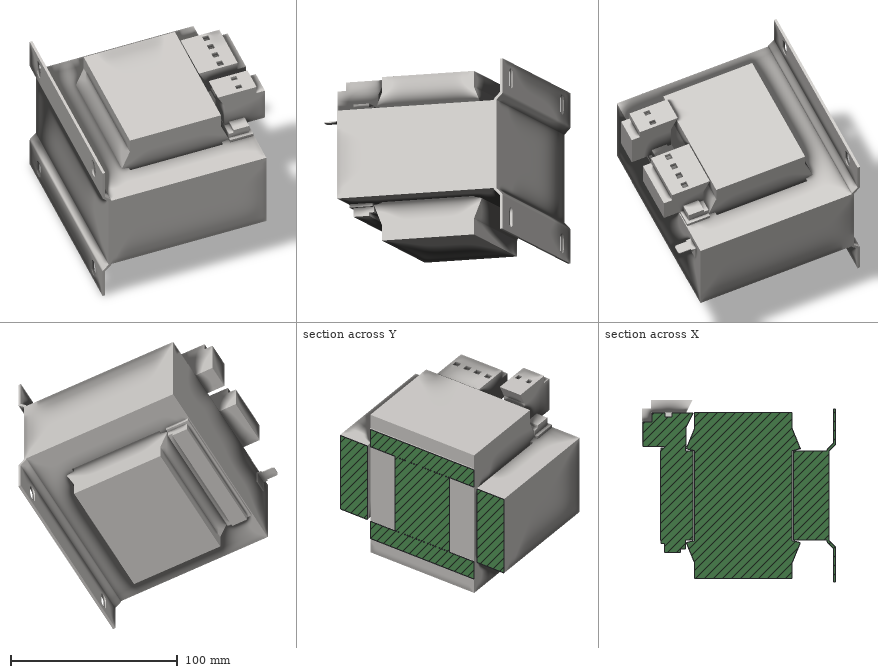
import cadquery as cq
import math


core_width = 120.0
core_depth = 100.0
core_height = 53.8
yoke_depth = core_width / 6
window_width = core_width * 2 / 3
leg_width = core_width / 3

plate_height = 104.2
plate_thickness = 1.7
plate_jog = 4.0
outer_bend_radius = 2.0
inner_bend_radius = outer_bend_radius - plate_thickness
slot_width = 6.0
slot_length = 12.0
slot_spacing_x = 90.0
slot_spacing_z = 84.8

core_front = plate_jog + plate_thickness
core_back = core_front + core_depth
core_top = core_height / 2

coil_width = 76.0
coil_height = 100.0
coil_depth = 58.8
coil_shoulder = 9.6
coil_flare = 5.0
flange_lift = 1.2

rail_base_depth = 15.0
rail_base_height = 2.0
rail_inset = 0.5
rail_depth = 13.1
rail_height = 7.5
rail_step_depth = 3.1
rail_step_height = 5.4

terminal_width = 15.1
terminal_depth = 30.4
terminal_step_depth = 5.4
terminal_step_height = 5.2
terminal_lip = 4.3
terminal_lip_drop = 8.8
terminal_clearance = 2.5
terminal_bottom = core_top + terminal_clearance
low_terminal_height = 20.3
low_terminal_top = terminal_bottom + low_terminal_height
high_terminal_rise = 7.7
high_terminal_top = low_terminal_top + high_terminal_rise
low_terminal_overhang = 10.5
high_terminal_overhang = 10.8
low_terminal_starts = (-2 * terminal_width, -terminal_width)
high_terminal_start = terminal_width
wire_hole_pitch = 7.7
wire_hole_length = 3.8
wire_hole_setback = 15.4
wire_hole_depth = 2.4
low_hole_width = 3.8
low_hole_offset = 3.8
high_hole_width = 2.9
high_hole_offset = 3.4

tab_x = -49.8
tab_reach = 11.2
tab_width = 6.1
tab_base_width = 7.9
tab_base_reach = 3.0
tab_thickness = 0.7
tab_leg_height = 9.6
tab_drop = 5.0
tab_top = core_top - tab_drop
tab_corner_radius = 1.5


def block(x_range, y_range, z_range):
    """Box between the given limits along each axis."""
    size = [high - low for low, high in (x_range, y_range, z_range)]
    return cq.Workplane("XY").box(*size, centered=False).translate((x_range[0], y_range[0], z_range[0]))


def prism(points, x_start, width):
    """Y-Z outline extruded along +X from x_start."""
    return cq.Workplane("YZ", origin=(x_start, 0, 0)).polyline(points).close().extrude(width)


def centered(width):
    return (-width / 2, width / 2)


def make_core():
    depth_range = (core_front, core_back)
    window_range = (core_front + yoke_depth, core_back - yoke_depth)
    core = block(centered(core_width), depth_range, centered(core_height))
    window = block(centered(window_width), window_range, centered(core_height))
    leg = block(centered(leg_width), window_range, centered(core_height))
    return core.cut(window).union(leg)


def make_plate():
    half_height = plate_height / 2
    bend_front_z = core_top + plate_jog
    bend_shift = plate_thickness * math.tan(math.pi / 8)
    front = [
        (0, half_height),
        (0, bend_front_z),
        (plate_jog, core_top),
    ]
    back = [
        (core_front, core_top + bend_shift),
        (plate_thickness, bend_front_z + bend_shift),
        (plate_thickness, half_height),
    ]
    front_lower = [(y, -z) for y, z in reversed(front)]
    back_lower = [(y, -z) for y, z in reversed(back)]
    outline = front + front_lower + back_lower + back
    plate = prism(outline, -core_width / 2, core_width)

    def bend_edges(y, z):
        box = cq.selectors.BoxSelector
        reach = core_width
        margin = 0.1
        upper = box((-reach, y - margin, z - margin), (reach, y + margin, z + margin))
        lower = box((-reach, y - margin, -z - margin), (reach, y + margin, -z + margin))
        return plate.edges("|X").edges(upper + lower)

    for y, z in (front[1], back[0]):
        plate = bend_edges(y, z).fillet(outer_bend_radius)
    for y, z in (front[2], back[1]):
        plate = bend_edges(y, z).fillet(inner_bend_radius)

    slots = (
        cq.Workplane("XZ", origin=(0, core_front, 0))
        .rarray(slot_spacing_x, slot_spacing_z, 2, 2)
        .slot2D(slot_length, slot_width, 90)
        .extrude(core_front)
    )
    return plate.cut(slots)


def make_coil():
    middle = core_front + core_depth / 2
    wall = coil_depth / 2
    half_height = coil_height / 2
    quarter = [
        (wall, core_top),
        (wall + coil_flare, core_top + flange_lift),
        (wall, half_height - coil_shoulder),
        (wall, half_height),
    ]
    back_side = [(y, -z) for y, z in reversed(quarter)] + quarter
    front_side = [(-y, -z) for y, z in back_side]
    outline = [(middle + y, z) for y, z in back_side + front_side]
    return prism(outline, -coil_width / 2, coil_width)


def make_upper_rail():
    base_back = core_back - rail_inset
    base_front = base_back - rail_base_depth
    base = block(
        centered(window_width), (base_front, base_back), (core_top, core_top + rail_base_height)
    )
    rail_back = base_front + rail_depth
    step_y = base_front + rail_step_depth
    outline = [
        (base_front, core_top),
        (rail_back, core_top),
        (rail_back, core_top + rail_height),
        (step_y, core_top + rail_height),
        (step_y, core_top + rail_step_height),
        (base_front, core_top + rail_step_height),
    ]
    return base.union(prism(outline, -coil_width / 2, coil_width))


def make_terminal(x_start, top, overhang, hole_width, hole_offset):
    back = core_back + overhang
    front_tip = back - terminal_depth
    front = front_tip + terminal_lip
    outline = [
        (front, terminal_bottom),
        (back, terminal_bottom),
        (back, top - terminal_step_height),
        (back - terminal_step_depth, top - terminal_step_height),
        (back - terminal_step_depth, top),
        (front_tip, top),
        (front, top - terminal_lip_drop),
    ]
    terminal = prism(outline, x_start, terminal_width)
    hole_y = back - wire_hole_setback
    hole_centers = [(x_start + hole_offset + i * wire_hole_pitch, hole_y) for i in range(2)]
    holes = (
        cq.Workplane("XY", origin=(0, 0, top))
        .pushPoints(hole_centers)
        .rect(hole_width, wire_hole_length)
        .extrude(-wire_hole_depth)
    )
    return terminal.cut(holes)


def make_earth_tab():
    thickness_range = (tab_top - tab_thickness, tab_top)
    base_x = (tab_x - tab_base_width / 2, tab_x + tab_base_width / 2)
    blade_x = (tab_x - tab_width / 2, tab_x + tab_width / 2)
    leg = block(base_x, (core_back, core_back + tab_thickness), (tab_top - tab_leg_height, tab_top))
    base = block(base_x, (core_back, core_back + tab_base_reach), thickness_range)
    blade = block(blade_x, (core_back, core_back + tab_reach), thickness_range)
    blade = blade.edges("|Z and >Y").fillet(tab_corner_radius)
    return leg.union(base).union(blade)


upper_rail = make_upper_rail()

result = make_core().union(make_plate()).union(make_coil())
result = result.union(upper_rail).union(upper_rail.mirror("XY"))
for start in low_terminal_starts:
    low_terminal = make_terminal(
        start, low_terminal_top, low_terminal_overhang, low_hole_width, low_hole_offset
    )
    result = result.union(low_terminal)
high_terminal = make_terminal(
    high_terminal_start, high_terminal_top, high_terminal_overhang, high_hole_width, high_hole_offset
)
result = result.union(high_terminal)
result = result.union(make_earth_tab())